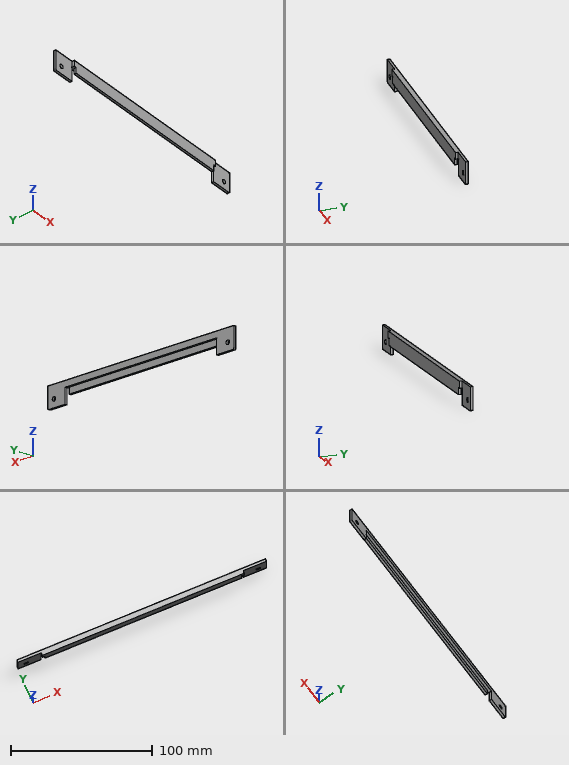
import cadquery as cq

length = 191.2
depth = 4.0
height = 17.8

plate_thickness = depth / 2
tab_width = 17.8
bridge_height = 5.2
corner_radius = 1.0

strip_thickness = depth - plate_thickness
strip_height = 10.3
strip_top_inset = 18.0
strip_lower_inset = 19.9

hole_diameter = 3.3
hole_inset = 6.3
hole_drop = 11.0


def centered_block(width, thickness, block_height, front_y):
    """Block centred on X with its front face at front_y and its top at Z = 0."""
    return (
        cq.Workplane("XY")
        .box(width, thickness, block_height, centered=(True, False, False))
        .translate((0, front_y, -block_height))
    )


def make_back_plate():
    """Bridge with a tab at each end, the outer lower tab corners rounded."""
    plate = centered_block(length, plate_thickness, height, strip_thickness)
    plate = plate.edges("|Y and <Z").fillet(corner_radius)
    gap = centered_block(length - 2 * tab_width, plate_thickness, height, strip_thickness)
    return plate.cut(gap.translate((0, 0, -bridge_height)))


def make_front_strip():
    """Strip whose lower portion is slightly shorter than its upper portion."""
    upper = centered_block(length - 2 * strip_top_inset, strip_thickness, bridge_height, 0)
    lower = centered_block(length - 2 * strip_lower_inset, strip_thickness, strip_height, 0)
    return upper.union(lower)


def make_hole(x):
    """Round cutter through the full depth at the given X."""
    return (
        cq.Workplane("XZ")
        .center(x, -hole_drop)
        .circle(hole_diameter / 2)
        .extrude(-depth)
    )


result = make_back_plate().union(make_front_strip())
for side in (-1, 1):
    result = result.cut(make_hole(side * (length / 2 - hole_inset)))